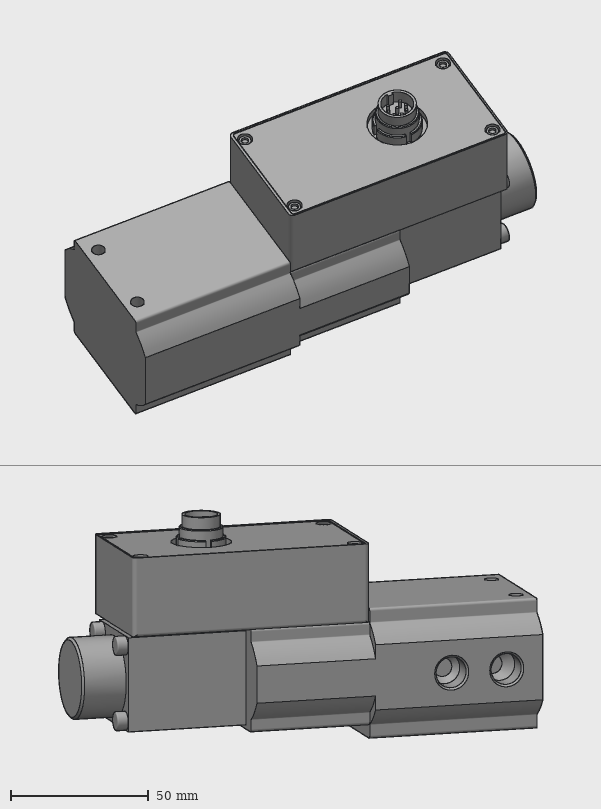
import cadquery as cq
import math

total_length = 170.2
total_height = 82.0
body_width = 62.0
core_width = 47.7
body_height = 48.2
body_length = 63.7
axis_z = body_height / 2
core_edge_radius = 1.0
flank_root_radius = 0.43
flank_radius = 25.5
body_flat_height = 24.2
body_wall_height = 5.3

middle_length = 45.1
middle_height = 38.1
middle_flat_height = 13.8
middle_wall_height = 4.8

block_width = 35.4
block_height = 34.9
block_length = 44.8
block_rear = body_length + middle_length + block_length
motor_diameter = 30.0
motor_chamfer = 0.9
bolt_diameter = 7.0
bolt_head_height = 3.9
bolt_edge_radius = 0.5
bolt_spacing = block_height - bolt_diameter

box_bottom = 42.9
box_top = 72.2
box_length = block_rear - body_length
box_middle_y = body_length + box_length / 2
box_corner_radius = 1.7
box_lower_radius = 1.0
lid_rim = 0.7
lid_front_rim = 1.2
lid_recess = 0.3
lid_length = box_length - lid_front_rim - lid_rim
lid_middle_y = block_rear - lid_rim - lid_length / 2
lid_top = box_top - lid_recess
screw_spacing_x = 38.1
screw_spacing_y = 81.5
screw_recess_diameter = 5.5
screw_head_diameter = 4.5
screw_socket_diameter = 2.7
screw_recess_depth = 2.0
screw_head_height = 1.4
screw_socket_depth = 1.0

spacer_pins = [(146.5, 5.0), (128.3, 5.5)]

connector_y = 120.3
connector_pocket_diameter = 22.0
connector_pocket_depth = 2.5
nut_diameter = 18.2
nut_top = 73.9
connector_chamfer = 0.3
nut_slot_width = 2.0
collar_diameter = 16.0
collar_top = 77.6
sleeve_diameter = 14.0
sleeve_bore_diameter = 11.9
sleeve_bore_depth = 5.1
contact_count = 7
key_width = 2.0
key_depth = 1.0
contact_diameter = 1.1
contact_circle_radius = 3.5
contact_height = 3.0
contact_angle_step = 45

mounting_hole_diameter = 5.0
mounting_hole_spacing = 30.0
mounting_hole_y = 5.3
port_mouth_diameter = 13.0
port_diameter = 11.4
port_floor_diameter = 7.0
port_depth = 8.5
port_taper_depth = 2.5
ports = [(34.7, 0.0), (13.8, 1.9)]


def flanked_section(start, length, height, flat_height, wall_height):
    """Extrude the body outline: side flats, convex flanks and narrower top and bottom."""
    wall_x = core_width / 2
    flat_x = body_width / 2
    flat_z = flat_height / 2
    wall_z = height / 2 - wall_height
    outline = (
        cq.Workplane("XZ", origin=(0, start, axis_z))
        .moveTo(-wall_x, -height / 2)
        .lineTo(wall_x, -height / 2)
        .lineTo(wall_x, -wall_z)
        .radiusArc((flat_x, -flat_z), -flank_radius)
        .lineTo(flat_x, flat_z)
        .radiusArc((wall_x, wall_z), -flank_radius)
        .lineTo(wall_x, height / 2)
        .lineTo(-wall_x, height / 2)
        .lineTo(-wall_x, wall_z)
        .radiusArc((-flat_x, flat_z), -flank_radius)
        .lineTo(-flat_x, -flat_z)
        .radiusArc((-wall_x, -wall_z), -flank_radius)
        .close()
    )
    section = outline.extrude(-length)
    corner_edges = section.faces(">Z or <Z").edges("|Y")
    section = corner_edges.fillet(core_edge_radius)
    root_reach = core_edge_radius / 2
    root_edges = cq.selectors.BoxSelector(
        (-wall_x - root_reach, start, axis_z - wall_z - root_reach),
        (wall_x + root_reach, start + length, axis_z + wall_z + root_reach),
    )
    return section.edges("|Y").edges(root_edges).fillet(flank_root_radius)


def vertical_cylinder(x, y, bottom, top, diameter):
    base = cq.Workplane("XY", origin=(x, y, bottom))
    return base.circle(diameter / 2).extrude(top - bottom)


def rear_block():
    block = (
        cq.Workplane("XY", origin=(0, block_rear - block_length / 2, axis_z))
        .box(block_width, block_length, block_height)
    )
    motor = (
        cq.Workplane("XZ", origin=(0, block_rear, axis_z))
        .circle(motor_diameter / 2)
        .extrude(block_rear - total_length)
        .faces(">Y")
        .chamfer(motor_chamfer)
    )
    bolts = (
        cq.Workplane("XZ", origin=(0, block_rear, axis_z))
        .rect(bolt_spacing, bolt_spacing, forConstruction=True)
        .vertices()
        .circle(bolt_diameter / 2)
        .extrude(-bolt_head_height)
        .faces(">Y")
        .edges()
        .fillet(bolt_edge_radius)
    )
    return block.union(motor).union(bolts)


def electronics_box():
    rounded_below = (
        cq.Workplane("XZ", origin=(0, body_length, 0))
        .moveTo(-core_width / 2, box_top)
        .lineTo(-core_width / 2, box_bottom + box_lower_radius)
        .radiusArc((box_lower_radius - core_width / 2, box_bottom), -box_lower_radius)
        .lineTo(core_width / 2 - box_lower_radius, box_bottom)
        .radiusArc((core_width / 2, box_bottom + box_lower_radius), -box_lower_radius)
        .lineTo(core_width / 2, box_top)
        .close()
        .extrude(-box_length)
    )
    rounded_corners = (
        cq.Workplane("XY", origin=(0, box_middle_y, box_bottom))
        .rect(core_width, box_length)
        .extrude(box_top - box_bottom)
        .edges("|Z")
        .fillet(box_corner_radius)
    )
    box = rounded_below.intersect(rounded_corners)
    lid_pocket = (
        cq.Workplane("XY", origin=(0, lid_middle_y, lid_top))
        .rect(core_width - 2 * lid_rim, lid_length)
        .extrude(lid_recess)
        .edges("|Z")
        .fillet(box_corner_radius - lid_rim)
    )
    return box.cut(lid_pocket)


def add_lid_screws(solid):
    recess_floor = lid_top - screw_recess_depth
    head_top = recess_floor + screw_head_height
    for x in (-screw_spacing_x / 2, screw_spacing_x / 2):
        for y in (box_middle_y - screw_spacing_y / 2, box_middle_y + screw_spacing_y / 2):
            recess = vertical_cylinder(x, y, recess_floor, lid_top, screw_recess_diameter)
            head = vertical_cylinder(x, y, recess_floor, head_top, screw_head_diameter)
            socket = vertical_cylinder(x, y, head_top - screw_socket_depth, head_top, screw_socket_diameter)
            solid = solid.cut(recess).union(head.cut(socket))
    return solid


def connector():
    pocket_floor = lid_top - connector_pocket_depth
    bore_floor = total_height - sleeve_bore_depth
    nut = vertical_cylinder(0, connector_y, pocket_floor, nut_top, nut_diameter)
    nut = nut.faces(">Z").chamfer(connector_chamfer)
    for slot_size in ((nut_diameter, nut_slot_width), (nut_slot_width, nut_diameter)):
        slot = cq.Workplane("XY", origin=(0, connector_y, pocket_floor)).rect(*slot_size)
        nut = nut.cut(slot.extrude(nut_top - pocket_floor))
    collar = vertical_cylinder(0, connector_y, pocket_floor, collar_top, collar_diameter)
    collar = collar.faces(">Z").chamfer(connector_chamfer)
    sleeve = vertical_cylinder(0, connector_y, pocket_floor, total_height, sleeve_diameter)
    bore = vertical_cylinder(0, connector_y, bore_floor, total_height, sleeve_bore_diameter)
    key = (
        cq.Workplane("XY", origin=(-sleeve_bore_diameter / 2, connector_y, bore_floor))
        .rect(2 * key_depth, key_width)
        .extrude(sleeve_bore_depth)
    )
    body = nut.union(collar).union(sleeve).cut(bore.cut(key))

    contact_places = [(0, 0)]
    for index in range(contact_count):
        angle = math.radians((index - contact_count // 2) * contact_angle_step)
        contact_x = contact_circle_radius * math.cos(angle)
        contact_y = contact_circle_radius * math.sin(angle)
        contact_places.append((contact_x, contact_y))
    for x, y in contact_places:
        contact_top = bore_floor + contact_height
        contact = vertical_cylinder(x, connector_y + y, bore_floor, contact_top, contact_diameter)
        body = body.union(contact)
    return body


def port(mouth_y, floor_offset):
    """Cutter for a side port: chamfered mouth, bore and tapered end."""
    chamfer = (port_mouth_diameter - port_diameter) / 2
    face = cq.Workplane("YZ", origin=(-body_width / 2, mouth_y, axis_z))
    mouth = (
        face.circle(port_mouth_diameter / 2)
        .workplane(offset=chamfer)
        .circle(port_diameter / 2)
        .loft()
    )
    bore = face.circle(port_diameter / 2).extrude(port_depth)
    taper = (
        face.workplane(offset=port_depth)
        .circle(port_diameter / 2)
        .workplane(offset=port_taper_depth)
        .center(floor_offset, 0)
        .circle(port_floor_diameter / 2)
        .loft()
    )
    return mouth.union(bore).union(taper)


def spacers():
    block_top = axis_z + block_height / 2
    pins = cq.Workplane("XY")
    for pin_y, pin_diameter in spacer_pins:
        pins = pins.add(vertical_cylinder(0, pin_y, block_top, box_bottom + box_lower_radius, pin_diameter))
    return pins.combine()


def add_connector(solid):
    pocket_floor = lid_top - connector_pocket_depth
    pocket = vertical_cylinder(0, connector_y, pocket_floor, lid_top, connector_pocket_diameter)
    return solid.cut(pocket).union(connector())


def mounting_holes():
    return (
        cq.Workplane("XY", origin=(0, mounting_hole_y, 0))
        .pushPoints([(-mounting_hole_spacing / 2, 0), (mounting_hole_spacing / 2, 0)])
        .circle(mounting_hole_diameter / 2)
        .extrude(body_height)
    )


body = flanked_section(0, body_length, body_height, body_flat_height, body_wall_height)
middle = flanked_section(body_length, middle_length, middle_height, middle_flat_height, middle_wall_height)
result = body.union(middle).union(rear_block()).union(electronics_box()).union(spacers())
result = add_lid_screws(result)
result = add_connector(result)
result = result.cut(mounting_holes())
for mouth_y, floor_offset in ports:
    result = result.cut(port(mouth_y, floor_offset))